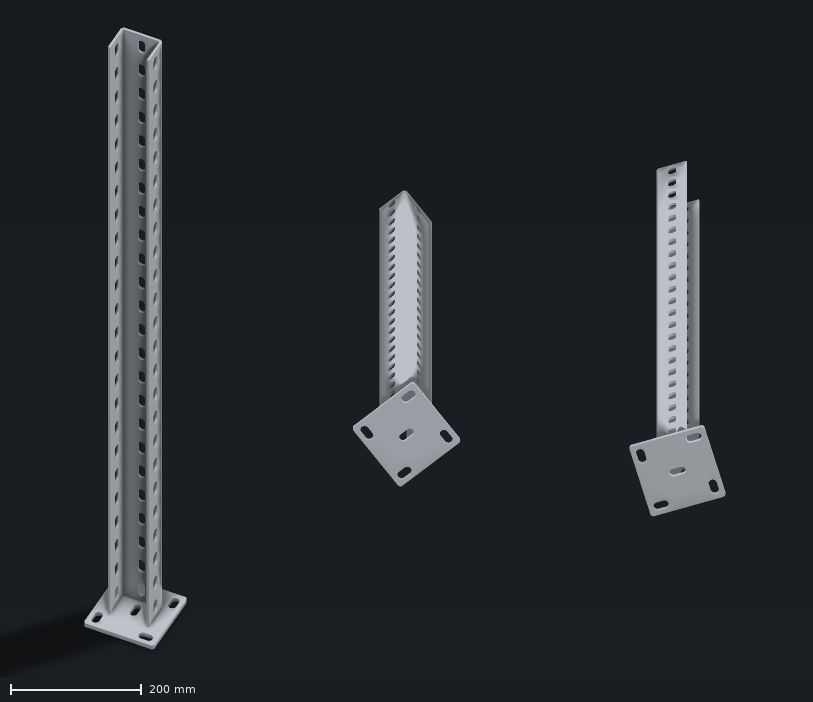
import cadquery as cq

total_height = 1208.0
plate_side = 120.0
plate_thickness = 8.0
plate_corner_radius = 5.0

post_width = 70.0
post_depth = 50.0
wall = 4.0
outer_bend_radius = 6.0
inner_bend_radius = outer_bend_radius - wall
post_height = total_height - plate_thickness

slots_per_row = 24
slot_pitch = post_height / slots_per_row
slot_length = 25.0
web_slot_width = 12.0
flange_slot_width = 13.0
flange_slot_y = -1.8

anchor_slot_length = 24.0
anchor_slot_width = 13.0
anchor_along = 40.0
anchor_across = 46.0


def make_plate():
    """Square plate with four anchor slots and a central slot parallel to Y."""
    plate = (
        cq.Workplane("XY")
        .box(plate_side, plate_side, plate_thickness, centered=(True, True, False))
        .edges("|Z")
        .fillet(plate_corner_radius)
    )
    anchor_slot = (
        cq.Workplane("XY")
        .center(-anchor_along, anchor_across)
        .slot2D(anchor_slot_length, anchor_slot_width)
        .extrude(plate_thickness)
    )
    for corner in range(4):
        plate = plate.cut(anchor_slot.rotate((0, 0, 0), (0, 0, 1), 90 * corner))
    central_slot = (
        cq.Workplane("XY").slot2D(slot_length, web_slot_width, 90).extrude(plate_thickness)
    )
    return plate.cut(central_slot)


def make_channel():
    """U-shaped post with rounded bends, standing on the plate."""
    outside = (
        cq.Workplane("XY", origin=(0, 0, plate_thickness))
        .rect(post_width, post_depth)
        .extrude(post_height)
        .edges("|Z and >Y")
        .fillet(outer_bend_radius)
    )
    inside = (
        cq.Workplane("XY", origin=(0, -wall, plate_thickness))
        .rect(post_width - 2 * wall, post_depth)
        .extrude(post_height)
        .edges("|Z and >Y")
        .fillet(inner_bend_radius)
    )
    return outside.cut(inside)


def slot_row(plane, across, width, depth):
    """Column of upright slot cutters, centred in equal pitches along the post."""
    centres = [
        (across, plate_thickness + (index + 0.5) * slot_pitch) for index in range(slots_per_row)
    ]
    return (
        cq.Workplane(plane)
        .pushPoints(centres)
        .slot2D(slot_length, width, 90)
        .extrude(depth, both=True)
    )


web_slots = slot_row("XZ", 0, web_slot_width, post_depth)
flange_slots = slot_row("YZ", flange_slot_y, flange_slot_width, post_width)
post = make_channel().cut(web_slots).cut(flange_slots)

result = make_plate().union(post)